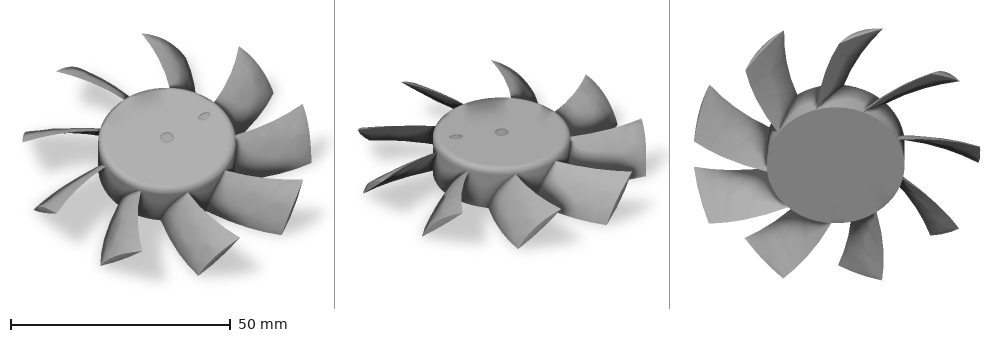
import cadquery as cq
import math

hub_radius = 15.7
hub_height = 10.6
rim_fillet = 1.5

recess_depth = 0.2
center_recess_radius = 1.6
oval_half_width = 1.0
oval_half_length = 1.6
oval_offset = 10.55

blade_count = 9
blade_height = hub_height - rim_fillet
outer_size = 65.6
tip_corner_offset = 6.0
tip_radius = outer_size / (1 + math.cos(math.radians(tip_corner_offset)))
crest_position = 0.6

blade_sections = [
    (12.45, -8.15, -2.5, 0.9),
    (21.65, -9.05, -1.7, 1.05),
    (26.9, -8.85, -0.3, 1.2),
    (33.15, -7.75, 2.2, 1.45),
]


def make_hub():
    hub = cq.Workplane("XY").circle(hub_radius).extrude(hub_height)
    hub = hub.faces(">Z").edges().fillet(rim_fillet)
    floor = cq.Workplane("XY").workplane(offset=hub_height - recess_depth)
    center_recess = floor.circle(center_recess_radius).extrude(recess_depth)
    oval_recess = (
        floor.center(0, oval_offset)
        .ellipse(oval_half_width, oval_half_length)
        .extrude(recess_depth)
    )
    return hub.cut(center_recess).cut(oval_recess)


def section_wire(distance, bottom_x, top_x, fullness):
    """Flat-bellied airfoil outline, from the bottom edge up to the top edge."""
    run = top_x - bottom_x
    chord = math.hypot(run, blade_height)
    crest_x = bottom_x + crest_position * run - fullness * blade_height / chord
    crest_z = crest_position * blade_height + fullness * run / chord
    bottom = cq.Vector(bottom_x, -distance, 0)
    crest = cq.Vector(crest_x, -distance, crest_z)
    top = cq.Vector(top_x, -distance, blade_height)
    convex_side = cq.Edge.makeSpline([bottom, crest, top])
    flat_side = cq.Edge.makeLine(top, bottom)
    return cq.Wire.assembleEdges([convex_side, flat_side])


def make_blade():
    wires = [section_wire(*section) for section in blade_sections]
    blade = cq.Workplane(obj=cq.Solid.makeLoft(wires))
    tip_envelope = cq.Workplane("XY").circle(tip_radius).extrude(blade_height)
    return blade.intersect(tip_envelope)


result = make_hub()
blade = make_blade()
for index in range(blade_count):
    angle = index * 360 / blade_count
    result = result.union(blade.rotate((0, 0, 0), (0, 0, 1), angle))